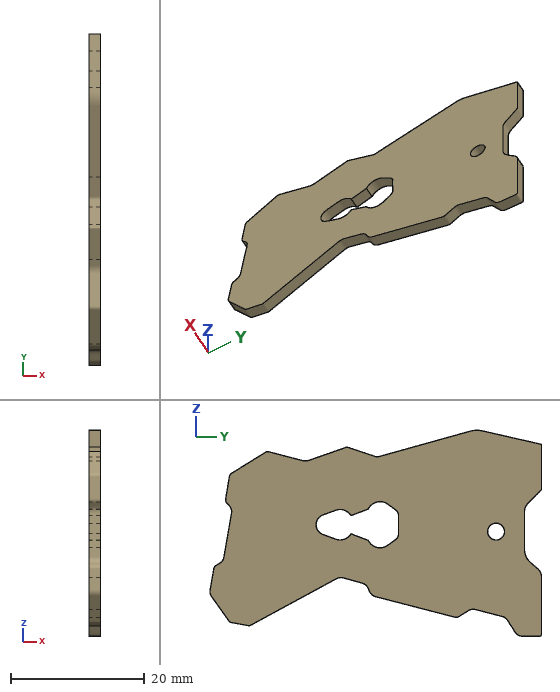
import cadquery as cq
import math

THICKNESS = 1.75
LENGTH = 49.83
HEIGHT = 30.97

REAR_Y = LENGTH / 2
BOTTOM_Z = -HEIGHT / 2
NOTCH_DEPTH = 2.55
NOTCH_Y = REAR_Y - NOTCH_DEPTH

HOLE_DIAMETER = 2.5
HOLE_Y = 18.07
HOLE_Z = 0.25

KEYHOLE_AXIS_Z = 1.28
KEYHOLE_REAR = -3.39
KEYHOLE_FRONT = 8.94
REAR_CORNER_RADIUS = 1.0
LOBE_CENTRE = (-0.65, 1.5)
LOBE_RADIUS = 1.95
LOBE_START_ANGLE = 126
LOBE_END_ANGLE = 25.5
NOSE_CENTRE = (5.35, 0.35)
NOSE_RADIUS = 1.92
NOSE_START_ANGLE = 148.5
NOSE_END_ANGLE = 70

TOP_EDGE = [
    (REAR_Y, 13.36, 0.25),
    (15.1, 15.6, 3.7),
    (0.2, 11.45, 0.8),
    (-4.32, 12.96, 0.15),
    (-10.5, 10.8, 1.9),
    (-16.32, 12.32, 0.7),
]
FRONT_EDGE = [
    (-21.95, 8.83, 0.8),
    (-22.62, 4.75, 0.8),
    (-21.56, 3.7, 1.3),
    (-22.92, -4.18, 1.2),
    (-24.28, -5.0, 0.8),
    (-24.98, -9.06, 1.2),
    (-21.92, -13.38, 0.4),
]
BOTTOM_EDGE = [
    (-18.96, -13.93, 0.5),
    (-5.4, -6.57, 1.5),
    (-1.45, -7.67, 1.3),
    (-0.65, -9.38, 1.5),
    (12.22, -12.71, 0.9),
    (14.42, -11.33, 1.3),
    (19.5, -12.65, 1.2),
    (21.33, BOTTOM_Z, 1.3),
]
REAR_EDGE = [
    (REAR_Y, BOTTOM_Z, 0.35),
    (REAR_Y, -5.83, 1.6),
    (NOTCH_Y, -3.62, 2.5),
    (NOTCH_Y, 3.97, 1.7),
    (REAR_Y, 6.55, 0.3),
]


def polar(centre, radius, angle):
    """Point at the given angle in degrees on a circle."""
    turn = math.radians(angle)
    return (centre[0] + radius * math.cos(turn), centre[1] + radius * math.sin(turn))


def corner_arc(before, corner, after):
    """Start, middle and end of the arc that rounds a corner between two straight edges."""
    y, z, radius = corner
    angle_in = math.atan2(before[1] - z, before[0] - y)
    angle_out = math.atan2(after[1] - z, after[0] - y)
    half_angle = math.acos(math.cos(angle_in - angle_out)) / 2
    setback = radius / math.tan(half_angle)
    apex_distance = radius / math.sin(half_angle) - radius
    bisector = math.atan2(
        math.sin(angle_in) + math.sin(angle_out),
        math.cos(angle_in) + math.cos(angle_out),
    )
    start = polar((y, z), setback, math.degrees(angle_in))
    middle = polar((y, z), apex_distance, math.degrees(bisector))
    end = polar((y, z), setback, math.degrees(angle_out))
    return start, middle, end


def base_face_plane():
    """YZ sketch plane on the -X face of the plate."""
    return cq.Workplane("YZ", origin=(-THICKNESS / 2, 0, 0))


def make_plate():
    """Plate blank with every outline corner rounded."""
    corners = TOP_EDGE + FRONT_EDGE + BOTTOM_EDGE + REAR_EDGE
    count = len(corners)
    arcs = [
        corner_arc(corners[i - 1], corners[i], corners[(i + 1) % count])
        for i in range(count)
    ]
    first_start, first_middle, first_end = arcs[0]
    outline = base_face_plane().moveTo(*first_start).threePointArc(first_middle, first_end)
    for start, middle, end in arcs[1:]:
        outline = outline.lineTo(*start).threePointArc(middle, end)
    return outline.close().extrude(THICKNESS)


def make_hole():
    """Cutter for the small round hole."""
    return base_face_plane().center(HOLE_Y, HOLE_Z).circle(HOLE_DIAMETER / 2).extrude(THICKNESS)


def make_keyhole():
    """Cutter for the keyhole window: rear pair of lobes, narrowing throat, tapered nose."""
    lobe_normal = polar((0, 0), 1, LOBE_START_ANGLE)
    lobe_reach = LOBE_CENTRE[0] * lobe_normal[0] + LOBE_CENTRE[1] * lobe_normal[1] + LOBE_RADIUS
    corner_along = KEYHOLE_REAR + REAR_CORNER_RADIUS
    corner_off = (lobe_reach - REAR_CORNER_RADIUS - corner_along * lobe_normal[0]) / lobe_normal[1]
    corner_centre = (corner_along, corner_off)

    nose_normal = polar((0, 0), 1, NOSE_END_ANGLE)
    nose_reach = NOSE_CENTRE[0] * nose_normal[0] + NOSE_CENTRE[1] * nose_normal[1] + NOSE_RADIUS
    tip_radius = (nose_reach - KEYHOLE_FRONT * nose_normal[0]) / (1 - nose_normal[0])
    tip_centre = (KEYHOLE_FRONT - tip_radius, 0)

    rounds = [
        (corner_centre, REAR_CORNER_RADIUS, 180, LOBE_START_ANGLE),
        (LOBE_CENTRE, LOBE_RADIUS, LOBE_START_ANGLE, LOBE_END_ANGLE),
        (NOSE_CENTRE, NOSE_RADIUS, NOSE_START_ANGLE, NOSE_END_ANGLE),
        (tip_centre, tip_radius, NOSE_END_ANGLE, 0),
    ]

    def place(point):
        """Convert a keyhole point (along, off) to plate (y, z)."""
        return (-point[0], KEYHOLE_AXIS_Z + point[1])

    half = base_face_plane().moveTo(*place((KEYHOLE_REAR, 0)))
    for centre, radius, start_angle, end_angle in rounds:
        middle_angle = (start_angle + end_angle) / 2
        half = half.lineTo(*place(polar(centre, radius, start_angle)))
        half = half.threePointArc(
            place(polar(centre, radius, middle_angle)),
            place(polar(centre, radius, end_angle)),
        )
    upper = half.close().extrude(THICKNESS)
    lower = upper.mirror("XY", (0, 0, KEYHOLE_AXIS_Z))
    return upper.union(lower)


result = make_plate().cut(make_hole()).cut(make_keyhole())